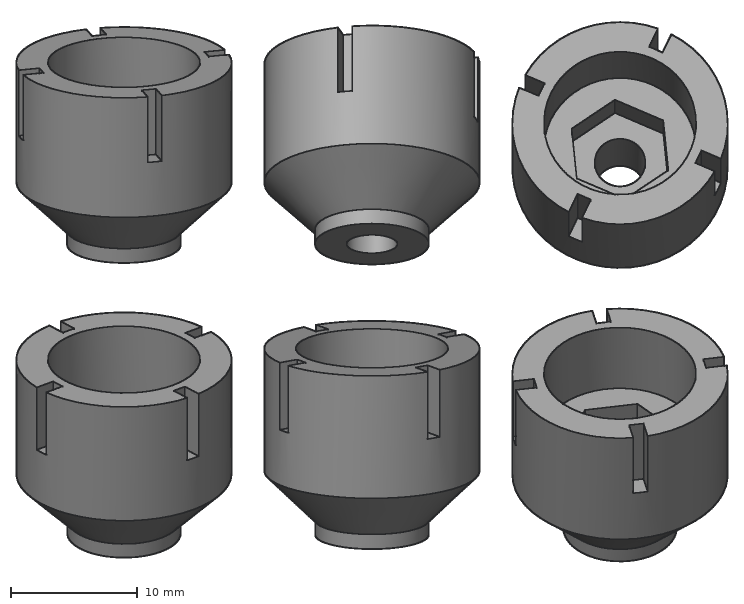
import cadquery as cq
import math

body_diameter = 17.0
neck_diameter = 9.0
total_height = 15.2
neck_height = 1.2
cone_height = (body_diameter - neck_diameter) / 2

bore_diameter = 12.0
bore_depth = 6.0
hex_across_flats = 7.26
hex_depth = 3.0
through_hole_diameter = 4.0

slot_count = 4
slot_width = 1.15
slot_radial_depth = 1.7
slot_length = 5.47


def make_body():
    """Revolve the solid outer profile about Z."""
    body_radius = body_diameter / 2
    neck_radius = neck_diameter / 2
    return (
        cq.Workplane("XZ")
        .lineTo(neck_radius, 0)
        .lineTo(neck_radius, neck_height)
        .lineTo(body_radius, neck_height + cone_height)
        .lineTo(body_radius, total_height)
        .lineTo(0, total_height)
        .close()
        .revolve(360, (0, 0, 0), (0, 1, 0))
    )


def make_opening():
    """Round bore, hexagonal nut pocket with corners on X, and through hole."""
    bore_floor = total_height - bore_depth
    hex_across_corners = hex_across_flats / math.cos(math.radians(30))
    bore = cq.Workplane("XY").workplane(offset=bore_floor).circle(bore_diameter / 2).extrude(bore_depth)
    nut_pocket = (
        cq.Workplane("XY")
        .workplane(offset=bore_floor - hex_depth)
        .polygon(6, hex_across_corners)
        .extrude(hex_depth)
    )
    through_hole = cq.Workplane("XY").circle(through_hole_diameter / 2).extrude(total_height)
    return bore.union(nut_pocket).union(through_hole)


def make_slot(angle):
    """Cutter for one slot, extended outward past the curved wall."""
    radial_size = 2 * slot_radial_depth
    inner_radius = body_diameter / 2 - slot_radial_depth
    return (
        cq.Workplane("XY")
        .box(radial_size, slot_width, slot_length, centered=(False, True, False))
        .translate((inner_radius, 0, total_height - slot_length))
        .rotate((0, 0, 0), (0, 0, 1), angle)
    )


result = make_body().cut(make_opening())
for slot_index in range(slot_count):
    result = result.cut(make_slot(slot_index * 360 / slot_count))